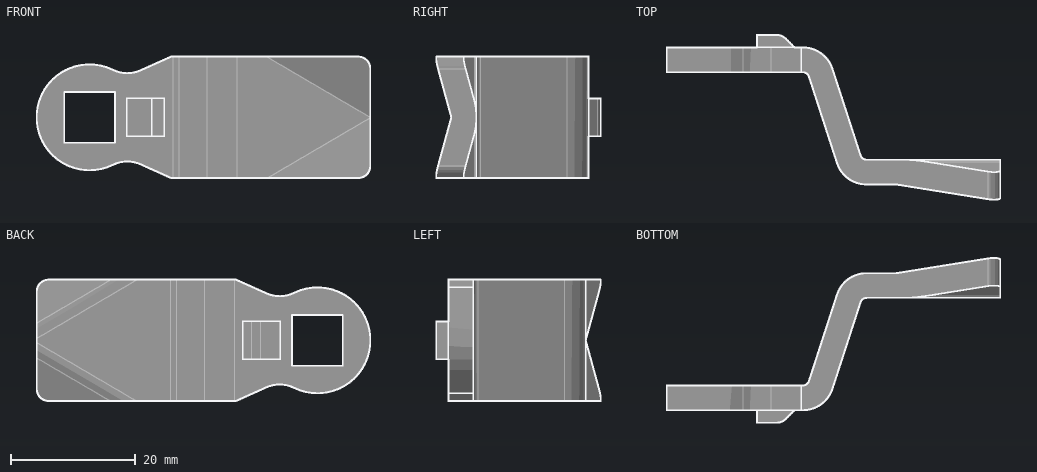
import cadquery as cq
import math

thickness = 4.0
strip_width = 19.5
half_width = strip_width / 2
tip_x = 45.0
tip_corner_radius = 2.0

disc_radius = 8.5
square_hole = 8.1
neck_radius = 5.2
neck_center_x = 6.05
neck_flare_angle = 24.2

nub_start_x = 6.0
nub_length = 6.0
nub_width = 6.1
nub_height = 2.0
nub_crest_radius = 2.0

bend_start_x = 13.35
offset_depth = 18.0
bend_angle = math.radians(72.0)
inner_bend_radius = 1.0
outer_bend_radius = inner_bend_radius + thickness

fold_start_x = 28.35
fold_angle = math.radians(17.6)
fold_back_radius = 7.0
fold_back_shift = 0.3

upper_bend_center = (bend_start_x, -outer_bend_radius)
lower_bend_y = -offset_depth + inner_bend_radius
bend_drop = upper_bend_center[1] - lower_bend_y
bend_run = (inner_bend_radius + outer_bend_radius + bend_drop * math.cos(bend_angle)) / math.sin(bend_angle)
lower_bend_center = (bend_start_x + bend_run, lower_bend_y)

joint_x = (lower_bend_center[0] + fold_start_x) / 2
tip_front_y = -offset_depth - thickness


def point_on_circle(center, radius, angle):
    """Point at an angle measured clockwise from the second axis."""
    return (center[0] + radius * math.sin(angle), center[1] + radius * math.cos(angle))


def make_joggled_strip():
    """Side profile of the disc plate, the sloping leg and the start of the tip."""
    def upper(radius, angle):
        return point_on_circle(upper_bend_center, radius, angle)

    def lower(radius, angle):
        return point_on_circle(lower_bend_center, radius, angle + math.pi)

    half_bend = bend_angle / 2
    return (
        cq.Workplane("XY", origin=(0, 0, -half_width))
        .moveTo(-disc_radius, 0)
        .lineTo(*upper(outer_bend_radius, 0))
        .threePointArc(upper(outer_bend_radius, half_bend), upper(outer_bend_radius, bend_angle))
        .lineTo(*lower(inner_bend_radius, bend_angle))
        .threePointArc(lower(inner_bend_radius, half_bend), lower(inner_bend_radius, 0))
        .lineTo(joint_x, -offset_depth)
        .lineTo(joint_x, tip_front_y)
        .lineTo(*lower(outer_bend_radius, 0))
        .threePointArc(lower(outer_bend_radius, half_bend), lower(outer_bend_radius, bend_angle))
        .lineTo(*upper(inner_bend_radius, bend_angle))
        .threePointArc(upper(inner_bend_radius, half_bend), upper(inner_bend_radius, 0))
        .lineTo(-disc_radius, -thickness)
        .close()
        .extrude(strip_width)
    )


def make_disc_outline():
    """Outline of disc, neck and strip, extruded through the full depth of the joggle."""
    flare = math.radians(neck_flare_angle)
    center_distance = disc_radius + neck_radius
    neck_center = (neck_center_x, math.sqrt(center_distance**2 - neck_center_x**2))
    disc_tangent_angle = math.asin(neck_center_x / center_distance)
    disc_tangent = point_on_circle((0, 0), disc_radius, disc_tangent_angle)
    neck_bottom = (neck_center[0], neck_center[1] - neck_radius)
    flare_start = point_on_circle(neck_center, neck_radius, math.pi - flare)
    flare_end = (flare_start[0] + (half_width - flare_start[1]) / math.tan(flare), half_width)

    def mirrored(point):
        return (point[0], -point[1])

    return (
        cq.Workplane("XZ")
        .moveTo(*disc_tangent)
        .threePointArc(neck_bottom, flare_start)
        .lineTo(*flare_end)
        .lineTo(joint_x, half_width)
        .lineTo(joint_x, -half_width)
        .lineTo(*mirrored(flare_end))
        .lineTo(*mirrored(flare_start))
        .threePointArc(mirrored(neck_bottom), mirrored(disc_tangent))
        .threePointArc((-disc_radius, 0), disc_tangent)
        .close()
        .extrude(offset_depth + thickness)
    )


def make_folded_half():
    """Upper half of the tip: flat up to the fold line, then bent toward -Y."""
    fold_run = tip_x - fold_start_x
    fold_length = math.hypot(fold_run, half_width)
    reach = 2 * fold_length

    across_fold = cq.Plane(
        origin=(tip_x, tip_front_y, 0),
        xDir=(half_width, 0, fold_run),
        normal=(-fold_run, 0, half_width),
    )
    back_center = (fold_back_shift, thickness - fold_back_radius)
    bent_middle = point_on_circle(back_center, fold_back_radius, fold_angle / 2)
    bent_end = point_on_circle(back_center, fold_back_radius, fold_angle)
    drop_at_reach = reach * math.tan(fold_angle)
    back_at_reach = bent_end[1] - (reach - bent_end[0]) * math.tan(fold_angle)
    folded_sheet = (
        cq.Workplane(across_fold)
        .moveTo(-reach, 0)
        .lineTo(0, 0)
        .lineTo(reach, -drop_at_reach)
        .lineTo(reach, back_at_reach)
        .lineTo(*bent_end)
        .threePointArc(bent_middle, (fold_back_shift, thickness))
        .lineTo(-reach, thickness)
        .close()
        .extrude(reach, both=True)
    )
    outline = (
        cq.Workplane("XY")
        .box(tip_x - joint_x, reach, half_width, centered=(False, True, False))
        .translate((joint_x, tip_front_y, 0))
        .edges("|Y and >X and >Z")
        .fillet(tip_corner_radius)
    )
    return outline.intersect(folded_sheet)


def make_nub(front_y):
    """Block with a 45 degree ramp on its +X end, standing nub_height behind front_y."""
    nub_end_x = nub_start_x + nub_length
    return (
        cq.Workplane("XY", origin=(0, 0, -nub_width / 2))
        .moveTo(nub_start_x, front_y)
        .lineTo(nub_end_x, front_y)
        .lineTo(nub_end_x - nub_height, front_y + nub_height)
        .lineTo(nub_start_x, front_y + nub_height)
        .close()
        .extrude(nub_width)
    )


def make_square_hole():
    return (
        cq.Workplane("XZ")
        .rect(square_hole, square_hole)
        .extrude(thickness)
    )


nub_crest = cq.selectors.NearestToPointSelector((nub_start_x + nub_length - nub_height, nub_height, 0))

upper_tip = make_folded_half()
result = (
    make_joggled_strip()
    .intersect(make_disc_outline())
    .union(upper_tip)
    .union(upper_tip.mirror("XY"))
    .clean()
    .cut(make_square_hole())
    .cut(make_nub(-thickness))
    .union(make_nub(0).edges(nub_crest).fillet(nub_crest_radius))
)